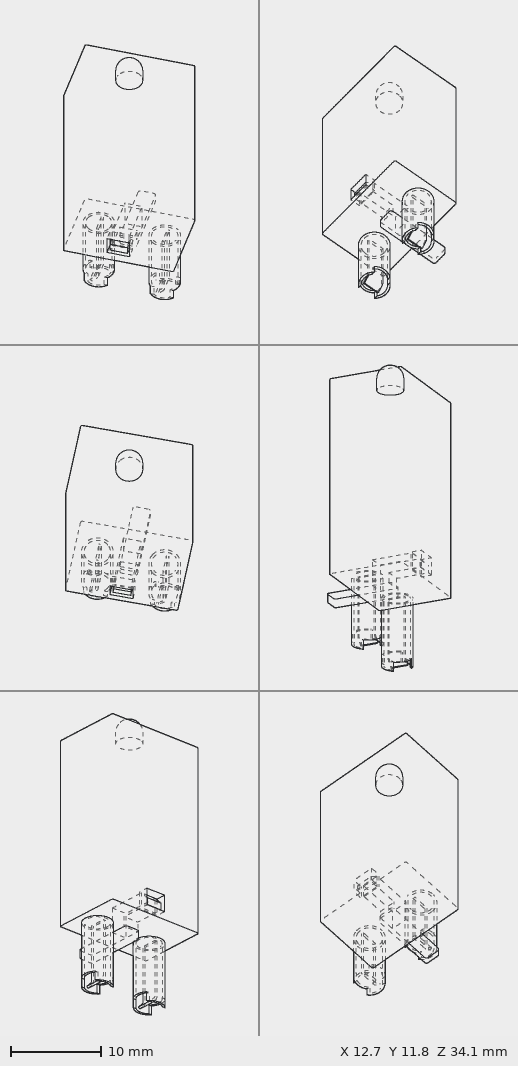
import cadquery as cq
import math


housing_width = 12.7
housing_depth = 8.9
housing_height = 23.2
housing_fillet = 0.2
front_y = -housing_depth / 2

lamp_radius = 1.5
lamp_height = 2.9

latch_width = 2.0
tab_thickness = 1.15
tab_fillet = 0.3
tab_overhang = 2.9
tab_start_y = -0.6
tab_end_y = housing_depth / 2 + tab_overhang
riser_depth = 2.0
riser_start_y = tab_start_y + tab_fillet
riser_end_y = riser_start_y + riser_depth
arm_bottom = 1.2
arm_top = 3.05
hook_setback = 0.25
hook_ramp = 1.0
hook_y = front_y + hook_setback

window_side_gap = 0.3
window_bottom_gap = 0.2
window_width = latch_width + 2 * window_side_gap
window_bottom = arm_bottom - window_bottom_gap
window_depth = hook_setback + hook_ramp

socket_spacing = 7.6
socket_y = 1.0
socket_length = 8.0
socket_radius = 1.76
socket_wall = 0.3
bore_radius = socket_radius - socket_wall
notch_width = 2.25
notch_height = 1.1
notch_top = notch_height - socket_length

leaf_width = 2.0
leaf_thickness = 0.28
leaf_bend_angle = 45.0
leaf_bend_radius = 0.5
leaf_bend_x = -0.5
leaf_bend_z = notch_top + 0.05
leaf_tip_length = 0.78


def make_latch():
    tab = cq.Workplane("XY").box(
        latch_width, tab_end_y - tab_start_y, tab_thickness, centered=(True, False, False)
    )
    tab = tab.translate((0, tab_start_y, -tab_thickness))
    tab = tab.edges("|Z or <Z").fillet(tab_fillet)
    arm = (
        cq.Workplane("YZ")
        .moveTo(riser_start_y, 0)
        .lineTo(riser_end_y, 0)
        .lineTo(riser_end_y, arm_top)
        .lineTo(hook_y + hook_ramp, arm_top)
        .lineTo(hook_y, arm_top - hook_ramp)
        .lineTo(hook_y, arm_bottom)
        .lineTo(riser_start_y, arm_bottom)
        .close()
        .extrude(latch_width / 2, both=True)
    )
    return tab.union(arm)


def make_housing(latch):
    block = cq.Workplane("XY").box(
        housing_width, housing_depth, housing_height, centered=(True, True, False)
    )
    block = block.edges("|Z or >Z").fillet(housing_fillet)
    window = cq.Workplane("XY").box(
        window_width, window_depth, arm_top - window_bottom, centered=(True, False, False)
    )
    window = window.translate((0, front_y, window_bottom))
    return block.cut(window).cut(latch)


def make_lamp():
    dome_base = housing_height + lamp_height - lamp_radius
    return (
        cq.Workplane("XZ")
        .moveTo(0, housing_height)
        .lineTo(lamp_radius, housing_height)
        .lineTo(lamp_radius, dome_base)
        .radiusArc((0, dome_base + lamp_radius), -lamp_radius)
        .close()
        .revolve(360, (0, 0), (0, 1))
    )


def make_socket(x):
    tube = cq.Workplane("XY").circle(socket_radius).circle(bore_radius).extrude(-socket_length)
    notch = cq.Workplane("XY").box(
        2 * socket_radius, notch_width, notch_height, centered=(True, True, False)
    )
    notch = notch.translate((0, 0, -socket_length))
    return tube.cut(notch).translate((x, socket_y, 0))


def bend_point(radius, angle):
    """Point in XZ about the bend centre, at an angle in degrees below +X."""
    turn = math.radians(angle)
    return (leaf_bend_x + radius * math.cos(turn), leaf_bend_z - radius * math.sin(turn))


def make_leaf(x):
    inner = leaf_bend_radius
    outer = leaf_bend_radius + leaf_thickness
    half_bend = leaf_bend_angle / 2
    tip_dx = -leaf_tip_length * math.sin(math.radians(leaf_bend_angle))
    tip_dz = -leaf_tip_length * math.cos(math.radians(leaf_bend_angle))
    inner_end = bend_point(inner, leaf_bend_angle)
    outer_end = bend_point(outer, leaf_bend_angle)
    leaf = (
        cq.Workplane("XZ")
        .moveTo(leaf_bend_x + inner, 0)
        .lineTo(*bend_point(inner, 0))
        .threePointArc(bend_point(inner, half_bend), inner_end)
        .lineTo(inner_end[0] + tip_dx, inner_end[1] + tip_dz)
        .lineTo(outer_end[0] + tip_dx, outer_end[1] + tip_dz)
        .lineTo(*outer_end)
        .threePointArc(bend_point(outer, half_bend), bend_point(outer, 0))
        .lineTo(leaf_bend_x + outer, 0)
        .close()
        .extrude(leaf_width / 2, both=True)
    )
    return leaf.translate((x, socket_y, 0))


latch = make_latch()
housing = make_housing(latch)
lamp = make_lamp()
bodies = [housing.val(), lamp.val(), latch.val()]
for socket_x in (-socket_spacing / 2, socket_spacing / 2):
    bodies.append(make_socket(socket_x).val())
    bodies.append(make_leaf(socket_x).val())

result = cq.Compound.makeCompound(bodies)